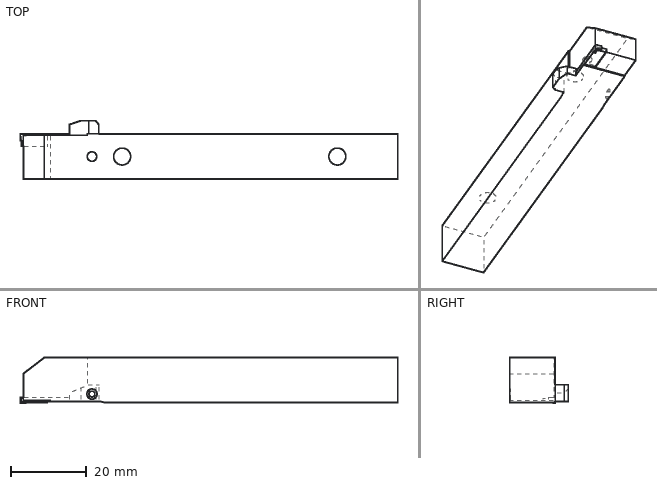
import cadquery as cq

tool_length = 100.0
shank_width = 12.0
shank_height = 12.0
nose_x = 0.8
nose_slope_end_x = 6.4
nose_slope_bottom_z = 7.7

relief_height = 0.3
head_relief_height = 0.6
head_relief_end_x = 8.0
relief_end_x = 21.2
relief_runout_x = 22.5

side_recess_depth = 0.3
side_recess_end_x = 17.7

boss_start_x = 13.0
boss_ridge_x = 18.1
boss_end_x = 20.8
boss_reach = 3.5
boss_shoulder_reach = 2.5
boss_lead_length = 3.0
boss_corner_length = 0.8
boss_front_z = 2.7
boss_top_z = 4.8

insert_bottom_z = -0.2
insert_top_z = 1.5
insert_end_x = 17.0
tip_length = 1.4
tip_width = 0.5
seat_start_x = 0.3
seat_end_x = 7.2
seat_inner_y = 8.7
seat_top_z = 1.2
seat_shoulder_y = 10.2

mark_depth = 0.1
screw_x = 19.0
small_mark_radius = 1.25
large_mark_radius = 2.25
large_mark_positions = (27.0, 84.0)
side_screw_z = 2.3
side_screw_radius = 1.35
side_socket_radius = 0.8


def box(x0, x1, y0, y1, z0, z1):
    """Block between opposite corner coordinates."""
    return cq.Workplane("XY").box(x1 - x0, y1 - y0, z1 - z0, centered=False).translate((x0, y0, z0))


def make_shank():
    profile = [
        (nose_x, head_relief_height),
        (head_relief_end_x, head_relief_height),
        (head_relief_end_x, relief_height),
        (relief_end_x, relief_height),
        (relief_runout_x, 0),
        (tool_length, 0),
        (tool_length, shank_height),
        (nose_slope_end_x, shank_height),
        (nose_x, nose_slope_bottom_z),
    ]
    shank = cq.Workplane("XZ").polyline(profile).close().extrude(-shank_width)
    recess = box(0, side_recess_end_x, shank_width - side_recess_depth, shank_width, 0, shank_height)
    return shank.cut(recess)


def make_boss():
    """Wedge with a sloping top, trimmed to its tapered plan outline."""
    root_y = shank_width - side_recess_depth
    outer_y = shank_width + boss_reach
    shoulder_y = shank_width + boss_shoulder_reach
    plan = [
        (boss_start_x, root_y),
        (boss_end_x, root_y),
        (boss_end_x, shoulder_y),
        (boss_end_x - boss_corner_length, outer_y),
        (boss_start_x + boss_lead_length, outer_y),
        (boss_start_x, shoulder_y),
    ]
    side = [
        (boss_start_x, relief_height),
        (boss_end_x, relief_height),
        (boss_end_x, boss_top_z),
        (boss_ridge_x, boss_top_z),
        (boss_start_x, boss_front_z),
    ]
    plan_solid = cq.Workplane("XY").polyline(plan).close().extrude(boss_top_z)
    side_solid = cq.Workplane("XZ").polyline(side).close().extrude(-outer_y)
    return plan_solid.intersect(side_solid)


def make_insert():
    """Blade along the side recess, cutting tip and tapered seat under the nose."""
    recess_y = shank_width - side_recess_depth
    tip_y = shank_width - tip_width
    blade = box(0, insert_end_x, recess_y, shank_width, relief_height, insert_top_z)
    tip = box(0, tip_length, tip_y, shank_width, insert_bottom_z, insert_top_z)
    seat_section = [
        (shank_width, 0),
        (seat_shoulder_y, 0),
        (seat_inner_y, relief_height),
        (seat_inner_y, seat_top_z),
        (shank_width, seat_top_z),
    ]
    seat_plane = cq.Workplane("YZ", origin=(seat_start_x, 0, 0))
    seat = seat_plane.polyline(seat_section).close().extrude(seat_end_x - seat_start_x)
    shoulder = box(0, tip_length, seat_shoulder_y, shank_width, relief_height, insert_top_z)
    return blade.union(tip).union(seat).union(shoulder)


def top_mark(x, radius):
    floor = cq.Workplane("XY", origin=(x, shank_width / 2, shank_height - mark_depth))
    return floor.circle(radius).extrude(mark_depth)


def side_mark(radius, depth):
    """Recess cut inward from the Y = 0 side."""
    face = cq.Workplane("XZ", origin=(screw_x, 0, side_screw_z))
    return face.circle(radius).extrude(-depth)


result = make_shank().union(make_boss()).union(make_insert())
result = result.cut(top_mark(screw_x, small_mark_radius))
for mark_x in large_mark_positions:
    result = result.cut(top_mark(mark_x, large_mark_radius))
result = result.cut(side_mark(side_screw_radius, mark_depth))
result = result.cut(side_mark(side_socket_radius, 2 * mark_depth))